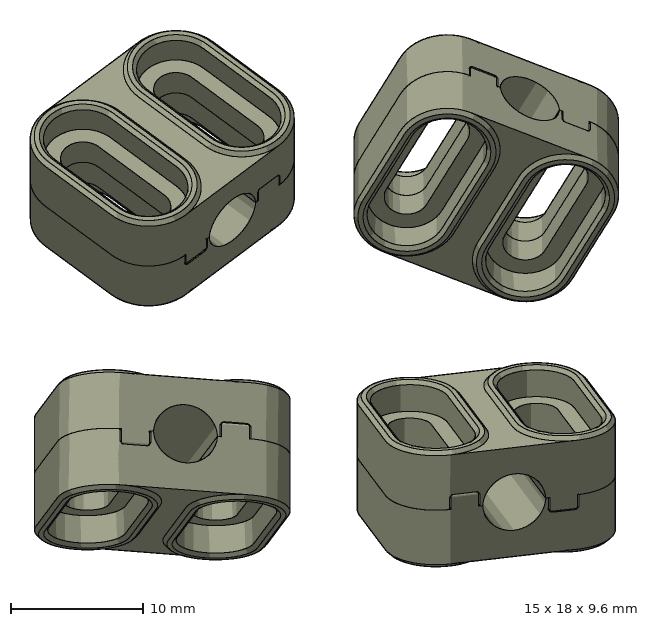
import cadquery as cq


LENGTH_X = 15.0
WIDTH_Y = 18.0
TOTAL_HEIGHT = 9.6
HALF_HEIGHT = TOTAL_HEIGHT / 2
CORNER_RADIUS = 4.0
STRAIGHT_X = LENGTH_X - 2 * CORNER_RADIUS
PAD_Y = WIDTH_Y / 2 - CORNER_RADIUS

EDGE_CHAMFER = 0.3
PAD_HEIGHT = EDGE_CHAMFER
BLOCK_HEIGHT = HALF_HEIGHT - PAD_HEIGHT

PAD_WALL = 1.0
POCKET_RADIUS = CORNER_RADIUS - PAD_WALL
POCKET_DEPTH = 2.5
SLOT_RADIUS = 1.7

BORE_RADIUS = 2.5
BORE_AXIS_DROP = 0.18

TONGUE_HEIGHT = 1.2
TONGUE_FILLET = 0.25
TONGUE_CORNER_RADIUS = 0.3
TONGUE_INNER_Y = 2.8
TONGUE_OUTER_Y = PAD_Y
TONGUE_LENGTH = 2.0
TONGUE_INNER_X = LENGTH_X / 2 - TONGUE_LENGTH
SIDE_CLEARANCE = 0.1
RECESS_FILLET = TONGUE_FILLET + SIDE_CLEARANCE
RECESS_CORNER_RADIUS = TONGUE_CORNER_RADIUS + SIDE_CLEARANCE


def oblong(radius, bottom, height):
    """Upright oblong prisms at both pad positions, ends of the given radius."""
    return (
        cq.Workplane("XY", origin=(0, 0, bottom))
        .pushPoints([(0, PAD_Y), (0, -PAD_Y)])
        .slot2D(STRAIGHT_X + 2 * radius, 2 * radius)
        .extrude(height)
    )


def box_between(x_range, y_range, z_range):
    """Box spanning the given ranges."""
    sizes = [high - low for low, high in (x_range, y_range, z_range)]
    corner = (x_range[0], y_range[0], z_range[0])
    return cq.Workplane("XY").box(*sizes, centered=False).translate(corner)


def both_ends(shape):
    """The shape at the +X end together with its mirror image at the -X end."""
    return shape.union(shape.mirror("YZ"))


def make_block():
    """Round-cornered block with two pocketed pads on top, both rims of each pad chamfered."""
    pockets = oblong(POCKET_RADIUS, HALF_HEIGHT - POCKET_DEPTH, POCKET_DEPTH)
    block = (
        cq.Workplane("XY")
        .rect(LENGTH_X, WIDTH_Y)
        .extrude(BLOCK_HEIGHT)
        .edges("|Z")
        .fillet(CORNER_RADIUS)
    )
    pads = oblong(CORNER_RADIUS, 0, HALF_HEIGHT).cut(pockets)
    pads = pads.faces(">Z").edges().chamfer(EDGE_CHAMFER)
    return block.cut(pockets).union(pads)


def make_tongues():
    """Tongues standing below the parting plane on the -Y side, lower edges rounded."""
    tongue = box_between(
        (TONGUE_INNER_X, LENGTH_X / 2), (-TONGUE_OUTER_Y, -TONGUE_INNER_Y), (-TONGUE_HEIGHT, 0)
    )
    tongue = tongue.edges("|Z and <X").fillet(TONGUE_CORNER_RADIUS)
    return both_ends(tongue.faces("<Z").edges().fillet(TONGUE_FILLET))


def make_recesses():
    """Recesses on the +Y side, open at the X ends, as deep as the tongues and a little wider."""
    recess = box_between(
        (TONGUE_INNER_X - SIDE_CLEARANCE, LENGTH_X / 2),
        (TONGUE_INNER_Y - SIDE_CLEARANCE, TONGUE_OUTER_Y + SIDE_CLEARANCE),
        (0, TONGUE_HEIGHT),
    )
    recess = recess.edges("|Z and <X").fillet(RECESS_CORNER_RADIUS)
    return both_ends(recess.faces(">Z").edges("not(>X)").fillet(RECESS_FILLET))


def make_clamp_half():
    """Upper clamp half, with its parting face on Z = 0."""
    slots = oblong(SLOT_RADIUS, 0, HALF_HEIGHT)
    bore = (
        cq.Workplane("YZ", origin=(-LENGTH_X / 2, 0, -BORE_AXIS_DROP))
        .circle(BORE_RADIUS)
        .extrude(LENGTH_X)
    )
    half = make_block().cut(make_recesses()).union(make_tongues())
    return half.cut(slots).cut(bore)


upper_half = make_clamp_half()
lower_half = upper_half.rotate((0, 0, 0), (1, 0, 0), 180)

result = cq.Compound.makeCompound([upper_half.solids().val(), lower_half.solids().val()])